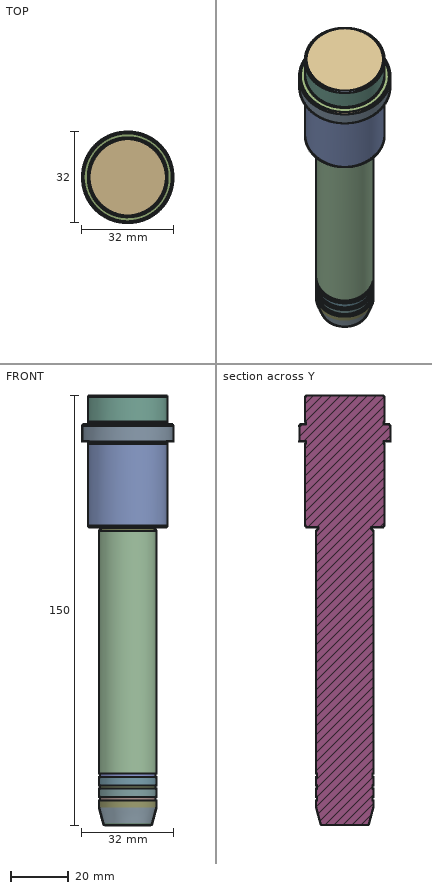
import cadquery as cq
import math

total_length = 150.0
flange_diameter = 32.0
body_diameter = 27.9
shank_diameter = 20.1

flange_top = 140.0
flange_bottom = 134.0
body_bottom = 104.0

edge_chamfer = 0.6
tip_fillet = 0.8
tip_height = 6.2
tip_angle = 15.0

body_relief_width = 0.9
shank_relief_width = 1.2
body_relief_depth = 0.3
shank_relief_depth = 0.8

groove_count = 3
groove_width = 1.2
groove_depth = 0.3
groove_pitch = 4.0
lowest_groove_center = 9.3


def cylinder(diameter, bottom, top):
    return cq.Workplane("XY").workplane(offset=bottom).circle(diameter / 2).extrude(top - bottom)


def rectangular_groove(diameter, bottom, width, depth):
    """Ring that cuts a square-sided groove into a round surface."""
    outside = cylinder(flange_diameter, bottom, bottom + width)
    return outside.cut(cylinder(diameter - 2 * depth, bottom, bottom + width))


def relief_groove(diameter, shoulder, direction, width, depth):
    """Ring that cuts a relief at a shoulder, with a 45 degree run-out away from it."""
    radius = diameter / 2
    end = shoulder + direction * width
    profile = [
        (radius, shoulder),
        (radius - depth, shoulder),
        (radius - depth, end - direction * depth),
        (radius, end),
    ]
    return cq.Workplane("XZ").polyline(profile).close().revolve(360, (0, 0), (0, 1))


def make_shank():
    """Plain shank with a tapered, rounded tip."""
    radius = shank_diameter / 2
    tip_radius = radius - tip_height * math.tan(math.radians(tip_angle))
    profile = [
        (0, 0),
        (tip_radius, 0),
        (radius, tip_height),
        (radius, body_bottom),
        (0, body_bottom),
    ]
    shank = cq.Workplane("XZ").polyline(profile).close().revolve(360, (0, 0), (0, 1))
    shank = shank.faces("<Z").edges().fillet(tip_fillet)
    for index in range(groove_count):
        center = lowest_groove_center + index * groove_pitch
        bottom = center - groove_width / 2
        shank = shank.cut(rectangular_groove(shank_diameter, bottom, groove_width, groove_depth))
    return shank.cut(relief_groove(shank_diameter, body_bottom, -1, shank_relief_width, shank_relief_depth))


def make_body():
    """Body and head of one diameter, relieved above and below the flange."""
    body = cylinder(body_diameter, body_bottom, total_length)
    body = body.faces("<Z or >Z").edges().chamfer(edge_chamfer)
    body = body.cut(relief_groove(body_diameter, flange_top, 1, body_relief_width, body_relief_depth))
    return body.cut(relief_groove(body_diameter, flange_bottom, -1, body_relief_width, body_relief_depth))


def make_flange():
    flange = cylinder(flange_diameter, flange_bottom, flange_top)
    return flange.faces(">Z").edges().chamfer(edge_chamfer)


result = make_shank().union(make_body()).union(make_flange())